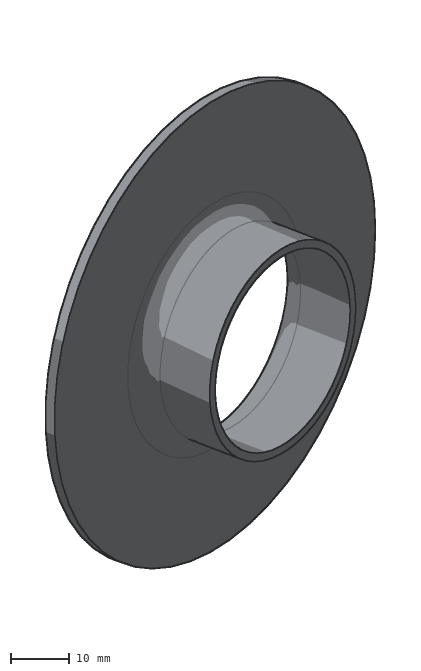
import cadquery as cq

flange_diameter = 88.0
flange_thickness = 2.0
collar_diameter = 40.0
bore_diameter = 37.0
total_length = 17.0
mouth_radius = 6.0

outer_bend_radius = mouth_radius - flange_thickness

smallest_circle = cq.selectors.RadiusNthSelector(0)

flange = cq.Workplane("YZ").circle(flange_diameter / 2).extrude(flange_thickness)
collar = cq.Workplane("YZ").circle(collar_diameter / 2).extrude(total_length)
body = flange.union(collar)

flange_back = body.faces("<X[1]")
body = flange_back.edges(smallest_circle).fillet(outer_bend_radius)

bore = cq.Workplane("YZ").circle(bore_diameter / 2).extrude(total_length)
body = body.cut(bore)

flange_face = body.faces("<X")
result = flange_face.edges(smallest_circle).fillet(mouth_radius)